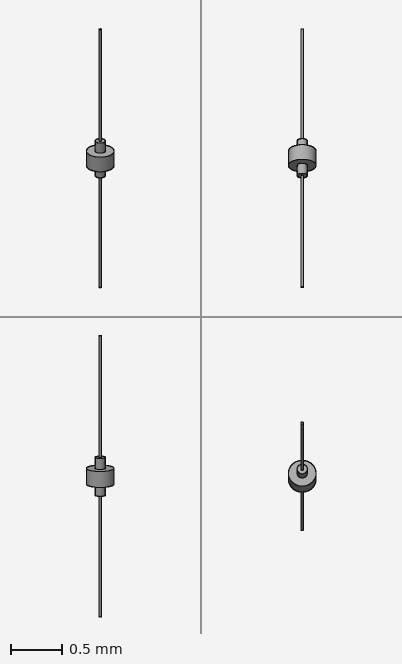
import cadquery as cq

wire_length = 2.81
wire_diameter = 0.0254
sleeve_length = 0.38
sleeve_diameter = 0.10
collar_length = 0.16
collar_diameter = 0.27


def centered_cylinder(diameter, length):
    """Cylinder along Z, centred on the origin."""
    base = cq.Workplane("XY").workplane(offset=-length / 2)
    return base.circle(diameter / 2).extrude(length)


wire = centered_cylinder(wire_diameter, wire_length)

sleeve = centered_cylinder(sleeve_diameter, sleeve_length)

collar = centered_cylinder(collar_diameter, collar_length)

result = collar.union(sleeve).union(wire)